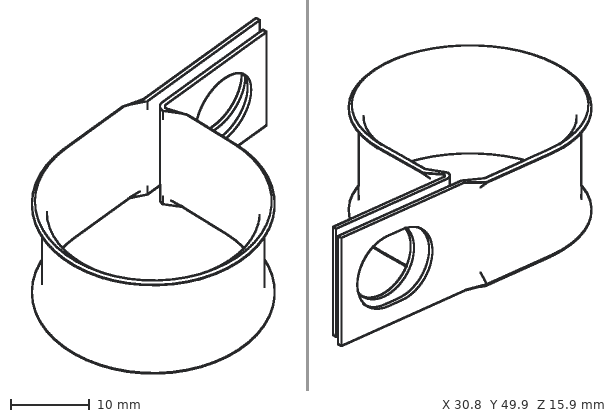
import cadquery as cq
import math

strip_width = 15.88
thickness = 0.635
loop_outer_radius = 14.125
loop_inner_radius = loop_outer_radius - thickness
half_width = strip_width / 2

flare_angle = math.radians(45)
flange_radius = 15.405
tip_flat = 0.1
tip_top = half_width - thickness * math.sin(flare_angle) + tip_flat / 2
tip_bottom = tip_top - tip_flat
tip_inner_radius = flange_radius - (half_width - tip_top) / math.tan(flare_angle)
bend_inner_radius = 0.25
bend_outer_radius = bend_inner_radius + thickness
bend_center_radius = loop_outer_radius + bend_inner_radius
bend_run = bend_inner_radius * (1 - math.cos(flare_angle))
bend_rise = bend_inner_radius * math.sin(flare_angle)
slope_rise = (flange_radius - loop_outer_radius - bend_run) / math.tan(flare_angle)
wall_top = tip_bottom - slope_rise - bend_rise
taper_length = 2.57

long_ear_end = 34.515
short_ear_end = 33.45
ear_gap = 1.52
ear_bend_inner_radius = 0.55
ear_bend_outer_radius = ear_bend_inner_radius + thickness
short_ear_inner_x = -loop_inner_radius + ear_gap
short_ear_outer_x = short_ear_inner_x + thickness
ear_bend_end_x = short_ear_inner_x + ear_bend_outer_radius
ear_bend_top_y = loop_inner_radius + ear_bend_outer_radius
flat_leg_start_y = loop_inner_radius

bolt_hole_y = 25.4
bolt_hole_diameter = 10.35
slot_length = 12.75

loop_sweep = 270

diagonal = math.sqrt(0.5)


def slab(x_start, x_end, y_start, y_end, half_height):
    """Box centred on Z = 0 between the given X and Y limits."""
    return (
        cq.Workplane("XY", origin=(0, 0, -half_height))
        .moveTo(x_start, y_start)
        .lineTo(x_end, y_start)
        .lineTo(x_end, y_end)
        .lineTo(x_start, y_end)
        .close()
        .extrude(2 * half_height)
    )


def make_loop_wall():
    """Upright wall: both straight legs and the round part between them."""
    return (
        cq.Workplane("XY", origin=(0, 0, -wall_top))
        .moveTo(-loop_outer_radius, flat_leg_start_y)
        .lineTo(-loop_outer_radius, 0)
        .threePointArc(
            (loop_outer_radius * diagonal, -loop_outer_radius * diagonal),
            (0, loop_outer_radius),
        )
        .lineTo(ear_bend_end_x, loop_outer_radius)
        .lineTo(ear_bend_end_x, loop_inner_radius)
        .lineTo(0, loop_inner_radius)
        .threePointArc(
            (loop_inner_radius * diagonal, -loop_inner_radius * diagonal),
            (-loop_inner_radius, 0),
        )
        .lineTo(-loop_inner_radius, flat_leg_start_y)
        .close()
        .extrude(2 * wall_top)
    )


def make_long_ear():
    """Flat continuation of the left leg, with a slot along Y."""
    ear = slab(-loop_outer_radius, -loop_inner_radius, flat_leg_start_y, long_ear_end, half_width)
    slot = (
        cq.Workplane("YZ", origin=(-loop_outer_radius, bolt_hole_y, 0))
        .slot2D(slot_length, bolt_hole_diameter)
        .extrude(thickness)
    )
    return ear.cut(slot)


def make_short_ear():
    """Tab bent up from the upper leg, with a round hole."""
    outer_reach = ear_bend_outer_radius * diagonal
    inner_reach = ear_bend_inner_radius * diagonal
    ear = (
        cq.Workplane("XY", origin=(0, 0, -half_width))
        .moveTo(ear_bend_end_x, loop_inner_radius)
        .threePointArc(
            (ear_bend_end_x - outer_reach, ear_bend_top_y - outer_reach),
            (short_ear_inner_x, ear_bend_top_y),
        )
        .lineTo(short_ear_inner_x, short_ear_end)
        .lineTo(short_ear_outer_x, short_ear_end)
        .lineTo(short_ear_outer_x, ear_bend_top_y)
        .threePointArc(
            (ear_bend_end_x - inner_reach, ear_bend_top_y - inner_reach),
            (ear_bend_end_x, loop_outer_radius),
        )
        .close()
        .extrude(strip_width)
    )
    hole = (
        cq.Workplane("YZ", origin=(short_ear_inner_x, bolt_hole_y, 0))
        .circle(bolt_hole_diameter / 2)
        .extrude(thickness)
    )
    return ear.cut(hole)


def bend_point(radius, angle):
    """Point on a bend arc, in distance from the loop axis and height."""
    return (
        bend_center_radius - radius * math.cos(angle),
        wall_top + radius * math.sin(angle),
    )


def flared_section(plane):
    """Flange section: two concentric bend arcs leading to a 45 degree slope with a blunt tip."""
    half_angle = flare_angle / 2
    return (
        cq.Workplane(plane)
        .moveTo(loop_outer_radius, wall_top)
        .threePointArc(
            bend_point(bend_inner_radius, half_angle),
            bend_point(bend_inner_radius, flare_angle),
        )
        .lineTo(flange_radius, tip_bottom)
        .lineTo(flange_radius, tip_top)
        .lineTo(tip_inner_radius, half_width)
        .lineTo(*bend_point(bend_outer_radius, flare_angle))
        .threePointArc(
            bend_point(bend_outer_radius, half_angle),
            (loop_inner_radius, wall_top),
        )
        .close()
    )


def upright_bend_height(bend_radius, slope_length, upright_height):
    """Share of an upright edge that matches the share of the flared edge taken by the bend arc."""
    arc_length = bend_radius * flare_angle
    return upright_height * arc_length / (arc_length + slope_length)


def upright_section(plane):
    """Unflared strip edge, with one side for each side of the flared section."""
    outer_slope_length = slope_rise / math.sin(flare_angle)
    inner_slope_start = bend_point(bend_outer_radius, flare_angle)
    inner_slope_length = math.hypot(
        tip_inner_radius - inner_slope_start[0],
        half_width - inner_slope_start[1],
    )
    upright_height = half_width - wall_top
    outer_bend_height = upright_bend_height(
        bend_inner_radius, outer_slope_length, upright_height - tip_flat
    )
    inner_bend_height = upright_bend_height(bend_outer_radius, inner_slope_length, upright_height)
    return (
        cq.Workplane(plane)
        .moveTo(loop_outer_radius, wall_top)
        .lineTo(loop_outer_radius, wall_top + outer_bend_height)
        .lineTo(loop_outer_radius, half_width - tip_flat)
        .lineTo(loop_outer_radius, half_width)
        .lineTo(loop_inner_radius, half_width)
        .lineTo(loop_inner_radius, wall_top + inner_bend_height)
        .lineTo(loop_inner_radius, wall_top)
        .close()
    )


def section_plane(origin, outward):
    """Plane whose local X points out of the loop and whose local Y points along +Z."""
    normal = cq.Vector(*outward).cross(cq.Vector(0, 0, 1))
    return cq.Plane(origin=origin, xDir=outward, normal=normal.toTuple())


def make_leg_flange(along, outward, leg_length):
    """Straight flange from the loop tangent point, tapering back to the upright strip."""
    direction = cq.Vector(*along)
    flare_end = direction * (leg_length - taper_length)
    leg_end = direction * leg_length
    start_plane = section_plane((0, 0, 0), outward)
    flare_end_plane = section_plane(flare_end.toTuple(), outward)
    leg_end_plane = section_plane(leg_end.toTuple(), outward)

    run_sign = direction.dot(start_plane.zDir)
    straight = flared_section(start_plane).extrude(run_sign * (leg_length - taper_length))
    wires = [
        flared_section(flare_end_plane).val(),
        upright_section(leg_end_plane).val(),
    ]
    taper = cq.Workplane(cq.Solid.makeLoft(wires))
    return straight.union(taper)


def make_top_flange():
    """Complete upper flange: round part and both tapered straight legs."""
    round_plane = section_plane((0, 0, 0), (-1, 0, 0))
    round_flange = flared_section(round_plane).revolve(loop_sweep, (0, 0, 0), (0, 1, 0))
    left_leg = make_leg_flange((0, 1, 0), (-1, 0, 0), flat_leg_start_y)
    upper_leg = make_leg_flange((-1, 0, 0), (0, 1, 0), -ear_bend_end_x)
    return round_flange.union(left_leg).union(upper_leg)


top_flange = make_top_flange()
bottom_flange = top_flange.mirror("XY")

result = make_loop_wall().union(make_long_ear()).union(make_short_ear())
result = result.union(top_flange).union(bottom_flange)